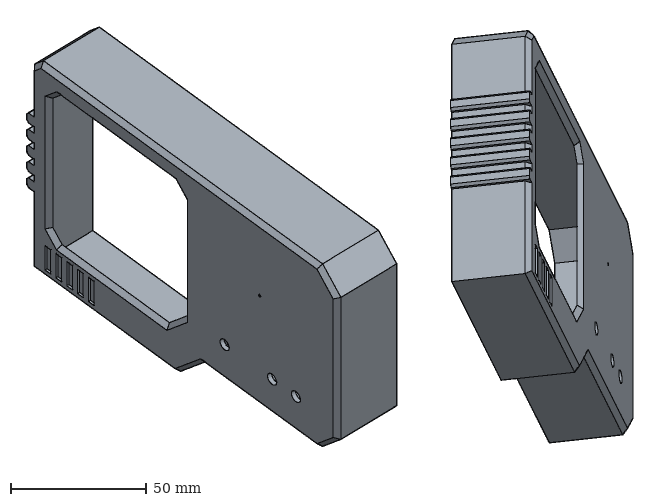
import cadquery as cq

LENGTH = 170.0
DEPTH = 30.0
HEIGHT = 104.0

FRONT_WALL = 2.0
SIDE_WALL = 1.4
EDGE_BEVEL = 2.0
TOP_LEFT_CUT = 5.0
RIGHT_CUT = 10.0
HANDLE_LENGTH = 80.0
STEP_RISE = 14.0

RIB_COUNT = 5
RIB_PITCH = 8.0
RIB_WIDTH = 5.0
RIB_PROJECTION = 2.0
RIB_BEVEL = 1.0
RIB_CENTER_Z = 57.1

BODY_LEFT = RIB_PROJECTION

WINDOW_SIZE = 78.0
WINDOW_MARGIN = 8.0
WINDOW_LEFT = BODY_LEFT + WINDOW_MARGIN
WINDOW_BOTTOM = 18.0
WINDOW_CUT = 6.3
WINDOW_STEP_CUT = 11.2

SLOT_COUNT = 5
SLOT_PITCH = 6.0
SLOT_WIDTH = 3.0
SLOT_HEIGHT = 11.9
SLOT_BOTTOM = 4.0
SLOT_DEPTH = 1.0

HOLE_DIAMETER = 5.0
HOLE_X_POSITIONS = (108.5, 134.5, 147.5)
HOLE_Z = 31.6
PINHOLE_DIAMETER = 1.0
PINHOLE_X = 127.7
PINHOLE_Z = 68.3


def front_plane(y):
    """Workplane with local axes X and Z whose extrusions run toward the back (+Y)."""
    return cq.Workplane(cq.Plane(origin=(0, y, 0), xDir=(1, 0, 0), normal=(0, -1, 0)))


def full_depth_prism(points):
    """Closed (X, Z) outline extruded from the front face to the back."""
    return front_plane(0).polyline(points).close().extrude(-DEPTH)


def body_outline():
    handle_right = BODY_LEFT + HANDLE_LENGTH
    return [
        (BODY_LEFT, 0),
        (handle_right, 0),
        (handle_right + STEP_RISE, STEP_RISE),
        (LENGTH - RIGHT_CUT, STEP_RISE),
        (LENGTH, STEP_RISE + RIGHT_CUT),
        (LENGTH, HEIGHT - RIGHT_CUT),
        (LENGTH - RIGHT_CUT, HEIGHT),
        (BODY_LEFT + TOP_LEFT_CUT, HEIGHT),
        (BODY_LEFT, HEIGHT - TOP_LEFT_CUT),
    ]


def solid_body():
    """Full block with its front edges beveled."""
    return full_depth_prism(body_outline()).faces("<Y").chamfer(EDGE_BEVEL)


def cavity():
    """Hollow behind the front wall, open at the back."""
    return (
        front_plane(FRONT_WALL)
        .polyline(body_outline())
        .close()
        .offset2D(-SIDE_WALL, "intersection")
        .extrude(-(DEPTH - FRONT_WALL))
    )


def window():
    """Opening that narrows toward the back at 45 degrees."""
    right = WINDOW_LEFT + WINDOW_SIZE
    top = WINDOW_BOTTOM + WINDOW_SIZE
    outline = [
        (WINDOW_LEFT + WINDOW_CUT, WINDOW_BOTTOM),
        (right - WINDOW_STEP_CUT, WINDOW_BOTTOM),
        (right, WINDOW_BOTTOM + WINDOW_STEP_CUT),
        (right, top - WINDOW_CUT),
        (right - WINDOW_CUT, top),
        (WINDOW_LEFT + WINDOW_CUT, top),
        (WINDOW_LEFT, top - WINDOW_CUT),
        (WINDOW_LEFT, WINDOW_BOTTOM + WINDOW_CUT),
    ]
    return front_plane(0).polyline(outline).close().extrude(-FRONT_WALL, taper=45)


def grip_rib(center_z):
    """Bar along the full depth, beveled outside and reaching inward past the front edge bevel."""
    root = BODY_LEFT + EDGE_BEVEL
    low = center_z - RIB_WIDTH / 2
    high = center_z + RIB_WIDTH / 2
    profile = [
        (root, low),
        (RIB_BEVEL, low),
        (0, low + RIB_BEVEL),
        (0, high - RIB_BEVEL),
        (RIB_BEVEL, high),
        (root, high),
    ]
    return full_depth_prism(profile)


def slot(left):
    block = cq.Workplane().box(SLOT_WIDTH, SLOT_DEPTH, SLOT_HEIGHT, centered=False)
    return block.translate((left, 0, SLOT_BOTTOM))


def round_hole(x, z, diameter):
    return front_plane(0).center(x, z).circle(diameter / 2).extrude(-FRONT_WALL)


result = solid_body()

lowest_rib_z = RIB_CENTER_Z - (RIB_COUNT - 1) / 2 * RIB_PITCH
for i in range(RIB_COUNT):
    result = result.union(grip_rib(lowest_rib_z + i * RIB_PITCH))

result = result.cut(cavity()).cut(window())

for i in range(SLOT_COUNT):
    result = result.cut(slot(WINDOW_LEFT + i * SLOT_PITCH))

for hole_x in HOLE_X_POSITIONS:
    result = result.cut(round_hole(hole_x, HOLE_Z, HOLE_DIAMETER))

result = result.cut(round_hole(PINHOLE_X, PINHOLE_Z, PINHOLE_DIAMETER))